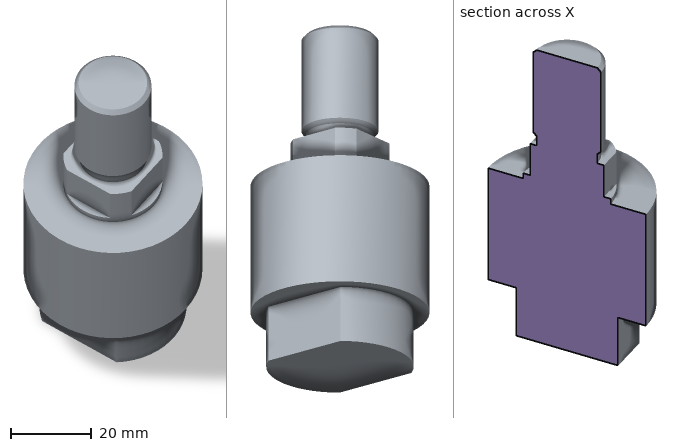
import cadquery as cq

body_diameter = 44.4
boss_diameter = 36.6
collar_diameter = 24.6
neck_diameter = 17.0
stud_diameter = 19.1

boss_across_flats = 28.6
square_across_flats = 20.8

boss_top = 14.3
body_top = 47.8
collar_top = 49.3
square_top = 58.8
neck_top = 61.4
total_height = 87.3

stud_chamfer = (stud_diameter - neck_diameter) / 2


def cylinder(diameter, bottom, top):
    """Vertical cylinder on the part axis between two heights."""
    return cq.Workplane("XY").workplane(offset=bottom).circle(diameter / 2).extrude(top - bottom)


def block(size_x, size_y, bottom, top):
    """Vertical block centred on the part axis between two heights."""
    return cq.Workplane("XY").workplane(offset=bottom).rect(size_x, size_y).extrude(top - bottom)


boss = cylinder(boss_diameter, 0, boss_top).intersect(
    block(boss_diameter, boss_across_flats, 0, boss_top)
)

body = cylinder(body_diameter, boss_top, body_top)
collar = cylinder(collar_diameter, body_top, collar_top)

square = cylinder(collar_diameter, collar_top, square_top).intersect(
    block(square_across_flats, square_across_flats, collar_top, square_top)
)

neck = cylinder(neck_diameter, square_top, neck_top)
stud = cylinder(stud_diameter, neck_top, total_height).faces("<Z or >Z").chamfer(stud_chamfer)

result = boss.union(body).union(collar).union(square).union(neck).union(stud)